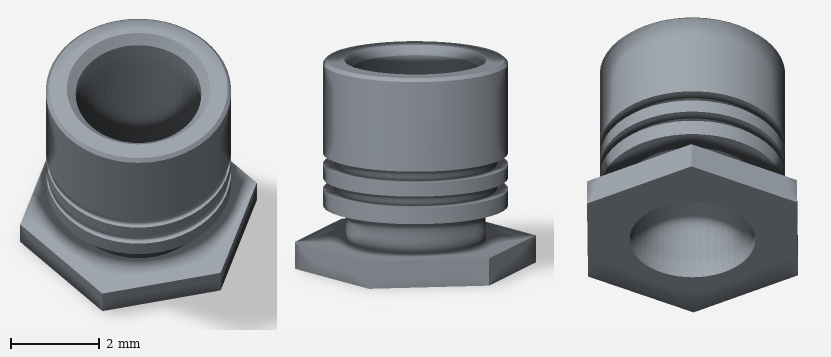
import cadquery as cq

flange_across_flats = 4.75
flange_across_corners = 5.48
flange_thickness = 0.63

body_diameter = 4.19
groove_diameter = 3.68
neck_diameter = 3.175
bore_diameter = 2.845
bore_mouth_diameter = 3.24

total_height = 4.76
neck_length = 0.77
lower_ring_width = 0.38
upper_ring_width = 0.32
groove_width = 0.26
rim_chamfer = 0.075
bore_chamfer_depth = 0.2

body_length = (
    total_height - flange_thickness - neck_length
    - lower_ring_width - upper_ring_width - 2 * groove_width
)


def make_flange():
    """Hexagonal plate with two corners on the X axis and flats facing Y."""
    corner_x = flange_across_corners / 2
    flat_end_x = flange_across_corners / 4
    flat_y = flange_across_flats / 2
    corners = [
        (corner_x, 0),
        (flat_end_x, flat_y),
        (-flat_end_x, flat_y),
        (-corner_x, 0),
        (-flat_end_x, -flat_y),
        (flat_end_x, -flat_y),
    ]
    return cq.Workplane("XY").polyline(corners).close().extrude(flange_thickness)


def add_stepped_sleeve(part):
    """Stack the neck, rings, grooves and main body on the flange."""
    sections = [
        (neck_diameter, neck_length),
        (body_diameter, lower_ring_width),
        (groove_diameter, groove_width),
        (body_diameter, upper_ring_width),
        (groove_diameter, groove_width),
        (body_diameter, body_length),
    ]
    base = flange_thickness
    for diameter, length in sections:
        section = cq.Workplane("XY").workplane(offset=base).circle(diameter / 2).extrude(length)
        part = part.union(section)
        base += length
    return part.faces(">Z").edges().chamfer(rim_chamfer)


def make_bore():
    """Through bore with a conical lead-in at the top."""
    bore_radius = bore_diameter / 2
    profile = [
        (0, 0),
        (bore_radius, 0),
        (bore_radius, total_height - bore_chamfer_depth),
        (bore_mouth_diameter / 2, total_height),
        (0, total_height),
    ]
    return cq.Workplane("XZ").polyline(profile).close().revolve(360, (0, 0, 0), (0, 1, 0))


result = add_stepped_sleeve(make_flange()).cut(make_bore())